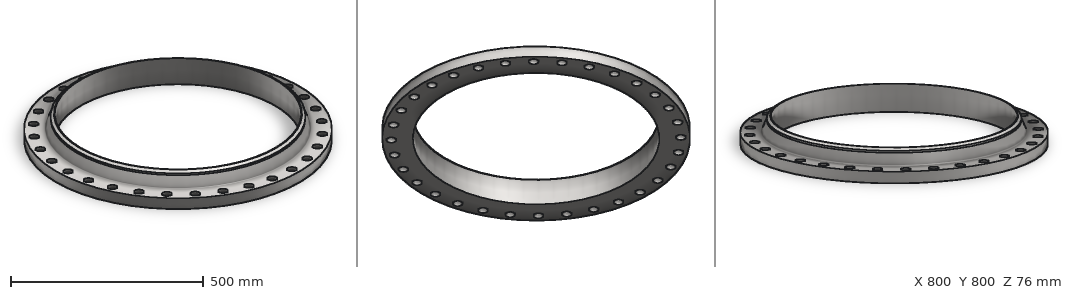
import cadquery as cq

flange_radius = 400.0
flange_height = 32.0
bore_radius = 320.0

total_height = 76.0
neck_radius = 331.0
cone_top = 64.0
cone_base_radius = 345.0
base_fillet = 5.0

land_width = 2.0
bevel_height = 6.0

bolt_count = 32
bolt_circle_radius = 376.0
bolt_hole_diameter = 25.5


def make_ring():
    """Revolve the flange and its weld neck about Z, with a straight bore."""
    return (
        cq.Workplane("XZ")
        .moveTo(bore_radius, 0)
        .lineTo(flange_radius, 0)
        .lineTo(flange_radius, flange_height)
        .lineTo(cone_base_radius, flange_height)
        .lineTo(neck_radius, cone_top)
        .lineTo(neck_radius, total_height - bevel_height)
        .lineTo(bore_radius + land_width, total_height)
        .lineTo(bore_radius, total_height)
        .close()
        .revolve(360, (0, 0, 0), (0, 1, 0))
    )


def round_neck_base(ring):
    """Fillet the inside corner between the cone and the flange face."""
    corner = cq.selectors.RadiusNthSelector(-2)
    return ring.edges("%CIRCLE").edges(corner).fillet(base_fillet)


def drill_bolt_holes(ring):
    """Cut the evenly spaced through holes, the first one on the +X axis."""
    holes = (
        cq.Workplane("XY")
        .polarArray(bolt_circle_radius, 0, 360, bolt_count)
        .circle(bolt_hole_diameter / 2)
        .extrude(flange_height)
    )
    return ring.cut(holes)


result = drill_bolt_holes(round_neck_base(make_ring()))